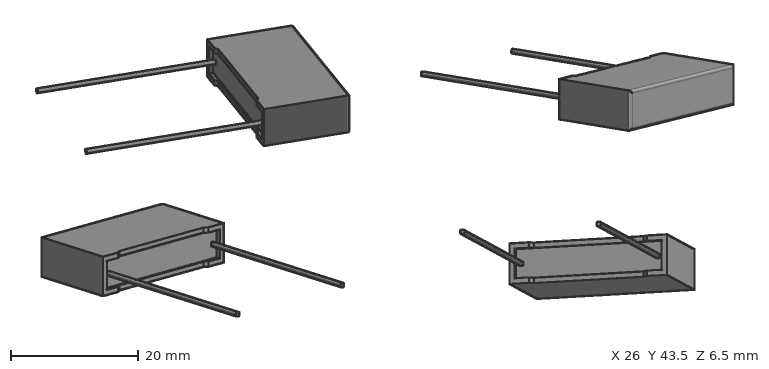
import cadquery as cq

total_length = 43.5
case_width = 26.0
case_length = 14.45
case_height = 6.5

wall = 0.85
back_fillet = 0.5
notch_depth = 0.45
notch_margin = 3.25
notch_slope_run = 0.7

fill_recess = 0.7
lead_diameter = 0.8
lead_pitch = 22.55

cavity_width = case_width - 2 * wall
cavity_height = case_height - 2 * wall
cavity_length = case_length - wall
fill_length = cavity_length - fill_recess
lead_length = total_length - case_length + fill_recess


def block(width, length, height, front_y):
    """Box centred on X and Z that starts at front_y and extends toward +Y."""
    base = cq.Workplane("XY", origin=(0, front_y, 0))
    return base.box(width, length, height, centered=(True, False, True))


def make_notch():
    """Trapezoidal cutter that lowers the middle of both long rim walls."""
    rim_half = case_width / 2 - notch_margin
    floor_half = rim_half - notch_slope_run
    return (
        cq.Workplane("XY")
        .polyline([(-rim_half, 0), (rim_half, 0), (floor_half, notch_depth), (-floor_half, notch_depth)])
        .close()
        .extrude(case_height / 2, both=True)
    )


def make_case():
    """Open box with a rounded back and a notched rim."""
    shell = block(case_width, case_length, case_height, 0).faces(">Y").edges().fillet(back_fillet)
    return shell.cut(block(cavity_width, cavity_length, cavity_height, 0)).cut(make_notch())


def make_filling():
    """Potting block that fills the cavity up to just below the rim."""
    return block(cavity_width, fill_length, cavity_height, fill_recess)


def make_lead(x):
    """Straight round wire that stands on the filling surface."""
    return (
        cq.Workplane("XZ", origin=(x, fill_recess, 0))
        .circle(lead_diameter / 2)
        .extrude(lead_length)
    )


case = make_case()
filling = make_filling()
leads = [make_lead(side * lead_pitch / 2) for side in (-1, 1)]

result = cq.Compound.makeCompound([case.val(), filling.val(), *[lead.val() for lead in leads]])